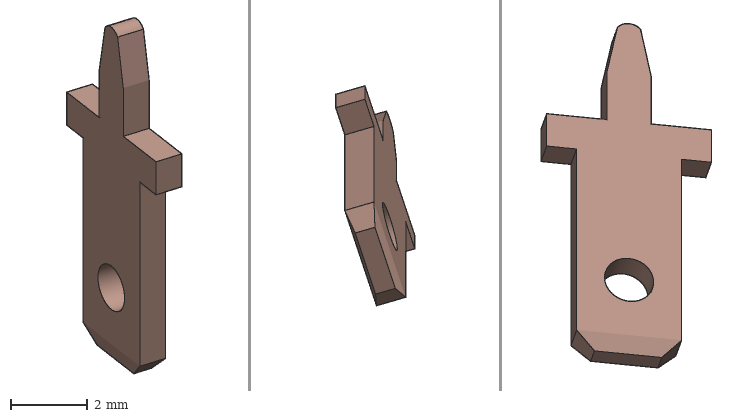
import cadquery as cq

height = 10.05
thickness = 0.8
crossbar_width = 4.4

blade_width = 2.8
blade_end_width = 1.8
lead_in_height = 0.5
lead_in_depth = 0.13
hole_diameter = 1.31
hole_height = 2.2

crossbar_bottom = 6.05
crossbar_top = 7.05
pin_width = 1.19
pin_taper_start = 8.49
tip_width = 0.62
tip_rise = 0.15
tip_base = height - tip_rise


def make_plate():
    """Flat plate in the XZ plane, centred on the thickness, blade end at Z = 0."""
    right_side = [
        (blade_end_width / 2, 0),
        (blade_width / 2, lead_in_height),
        (blade_width / 2, crossbar_bottom),
        (crossbar_width / 2, crossbar_bottom),
        (crossbar_width / 2, crossbar_top),
        (pin_width / 2, crossbar_top),
        (pin_width / 2, pin_taper_start),
        (tip_width / 2, tip_base),
    ]
    left_side = [(-x, z) for x, z in reversed(right_side)]
    outline = (
        cq.Workplane("XZ")
        .polyline(right_side)
        .threePointArc((0, height), left_side[0])
    )
    for point in left_side[1:]:
        outline = outline.lineTo(*point)
    return outline.close().extrude(thickness / 2, both=True)


def make_lead_in_cutter(side):
    """Wedge that bevels the broad face on the given Y side (-1 or 1)."""
    face = side * thickness / 2
    return (
        cq.Workplane("YZ")
        .polyline([(face, lead_in_height), (face, 0), (face - side * lead_in_depth, 0)])
        .close()
        .extrude(blade_width / 2, both=True)
    )


def make_hole_cutter():
    """Round through hole on the blade centreline."""
    return (
        cq.Workplane("XZ")
        .center(0, hole_height)
        .circle(hole_diameter / 2)
        .extrude(thickness, both=True)
    )


result = make_plate().cut(make_hole_cutter())
for side in (-1, 1):
    result = result.cut(make_lead_in_cutter(side))